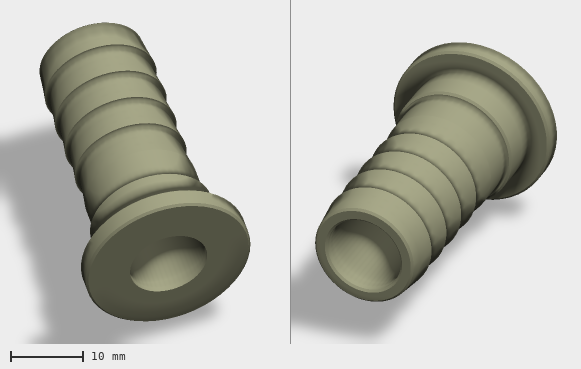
import cadquery as cq

length = 39.0
bore_diameter = 11.0
barb_diameter = 16.0
barb_root_diameter = 14.82
collar_diameter = 17.5
flange_diameter = 23.5
flange_thickness = 3.0
barb_pitch = 5.0
stepped_barbs = 4
collar_start = 30.0
edge_break = 0.3
collar_chamfer = 0.3
root_fillet = 0.4
barb_fillet = 0.45

bore_radius = bore_diameter / 2
barb_radius = barb_diameter / 2
barb_root_radius = barb_root_diameter / 2
collar_radius = collar_diameter / 2
flange_radius = flange_diameter / 2
flange_start = length - flange_thickness
diagonal = 0.5 ** 0.5


def concave_fillet(profile, corner_x, floor_radius, size):
    """Follow a floor and turn up into a wall at corner_x through a concave quarter round."""
    start_x = corner_x - size
    inset = size * (1 - diagonal)
    return profile.lineTo(start_x, floor_radius).threePointArc(
        (corner_x - inset, floor_radius + inset),
        (corner_x, floor_radius + size),
    )


def add_barbs(profile):
    """Add barbs with a sharp crest and a rounded root behind; the last ends on the cylinder."""
    inset = barb_fillet * (1 - diagonal)
    for index in range(1, stepped_barbs + 1):
        crest_x = index * barb_pitch
        profile = (
            profile.lineTo(crest_x, barb_radius)
            .lineTo(crest_x, barb_root_radius + barb_fillet)
            .threePointArc(
                (crest_x + inset, barb_root_radius + inset),
                (crest_x + barb_fillet, barb_root_radius),
            )
        )
    return profile.lineTo((stepped_barbs + 1) * barb_pitch, barb_radius)


section = (
    cq.Workplane("XY")
    .moveTo(0, bore_radius + edge_break)
    .lineTo(0, barb_root_radius - edge_break)
    .lineTo(edge_break, barb_root_radius)
)
section = add_barbs(section)

section = concave_fillet(section, collar_start, barb_radius, root_fillet)
section = section.lineTo(collar_start, collar_radius - collar_chamfer)
section = section.lineTo(collar_start + collar_chamfer, collar_radius)

section = concave_fillet(section, flange_start, collar_radius, root_fillet)
section = (
    section.lineTo(flange_start, flange_radius - edge_break)
    .lineTo(flange_start + edge_break, flange_radius)
    .lineTo(length - edge_break, flange_radius)
    .lineTo(length, flange_radius - edge_break)
)

section = section.lineTo(length, bore_radius).lineTo(edge_break, bore_radius).close()

result = section.revolve(360, (0, 0, 0), (1, 0, 0))